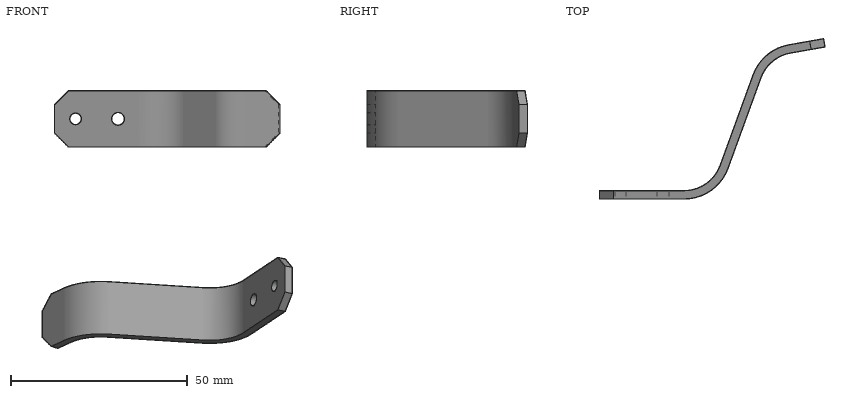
import cadquery as cq
import math

thickness = 2.4
width = 16.0
corner_cut = 4.0

foot_length = 23.95
web_length = 27.2
tip_length = 9.95

web_angle = 70
tip_angle = 10
inner_radius = 10.85
outer_radius = inner_radius + thickness

hole_positions = (6.0, 18.0)
hole_diameters = (3.2, 3.5)


def along(point, angle, distance):
    """Point reached by moving a distance in a direction given in degrees."""
    a = math.radians(angle)
    return (point[0] + distance * math.cos(a), point[1] + distance * math.sin(a))


def bend_point(center, radius, heading, side):
    """Arc point with this heading; side is -1 right and +1 left of the center."""
    return along(center, heading + side * 90, radius)


foot_center = (foot_length, outer_radius)
web_start = bend_point(foot_center, outer_radius, web_angle, -1)
web_end = along(web_start, web_angle, web_length)
tip_center = along(web_end, web_angle - 90, inner_radius)
tip_start = bend_point(tip_center, inner_radius, tip_angle, 1)
tip_end = along(tip_start, tip_angle, tip_length)
foot_mid_heading = web_angle / 2
tip_mid_heading = (web_angle + tip_angle) / 2


def bent_strip():
    profile = (
        cq.Workplane("XY")
        .workplane(offset=-width / 2)
        .moveTo(0, 0)
        .lineTo(foot_length, 0)
        .threePointArc(bend_point(foot_center, outer_radius, foot_mid_heading, -1), web_start)
        .lineTo(*web_end)
        .threePointArc(bend_point(tip_center, inner_radius, tip_mid_heading, 1), tip_start)
        .lineTo(*tip_end)
        .lineTo(*along(tip_end, tip_angle + 90, thickness))
        .lineTo(*bend_point(tip_center, outer_radius, tip_angle, 1))
        .threePointArc(
            bend_point(tip_center, outer_radius, tip_mid_heading, 1),
            bend_point(tip_center, outer_radius, web_angle, 1),
        )
        .lineTo(*bend_point(foot_center, inner_radius, web_angle, -1))
        .threePointArc(
            bend_point(foot_center, inner_radius, foot_mid_heading, -1),
            (foot_length, thickness),
        )
        .lineTo(0, thickness)
        .close()
    )
    return profile.extrude(width)


def cut_end_corners(strip):
    """Chamfer the upper and lower corners at both ends of the strip."""
    foot_corners = strip.faces("<X").edges("|Y")
    strip = foot_corners.chamfer(corner_cut)
    tip_corners = strip.faces(">X").edges("not |Z")
    return tip_corners.chamfer(corner_cut)


def drill_foot(strip):
    for position, diameter in zip(hole_positions, hole_diameters):
        drill = (
            cq.Workplane("XZ")
            .center(position, 0)
            .circle(diameter / 2)
            .extrude(-thickness)
        )
        strip = strip.cut(drill)
    return strip


result = drill_foot(cut_end_corners(bent_strip()))